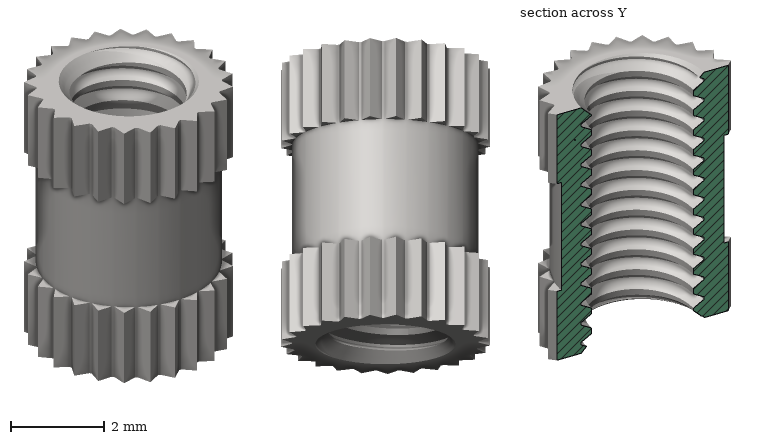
import cadquery as cq
import math

length = 6.2
knurl_height = 1.75

body_radius = 2.0
tooth_tip_radius = 2.25
tooth_count = 25
tooth_pitch_angle = 360.0 / tooth_count
root_land_width = 0.055

bore_radius = 1.245
thread_root_radius = 1.5
turns_in_length = 12.4
thread_pitch = length / turns_in_length
flank_slope = math.tan(math.radians(30.0))
groove_root_width = thread_pitch / 8
groove_overlap = 0.03

chamfer_clearance = 0.005
chamfer_rim_radius = thread_root_radius + chamfer_clearance
chamfer_depth = chamfer_rim_radius - bore_radius


def tooth_ring(base_z):
    """Ring of pointed teeth; the lands between teeth lie on the body surface."""
    land_angle = math.degrees(root_land_width / body_radius)
    half_tooth_angle = (tooth_pitch_angle - land_angle) / 2

    def polar(radius, degrees):
        angle = math.radians(degrees)
        return radius * math.cos(angle), radius * math.sin(angle)

    first_tip_angle = 90.0
    outline = cq.Workplane("XY", origin=(0, 0, base_z))
    outline = outline.moveTo(*polar(body_radius, first_tip_angle - half_tooth_angle))
    for tooth in range(tooth_count):
        tip_angle = first_tip_angle + tooth * tooth_pitch_angle
        gap_angle = tip_angle + tooth_pitch_angle / 2
        next_tooth_start = tip_angle + tooth_pitch_angle - half_tooth_angle
        outline = (
            outline.lineTo(*polar(tooth_tip_radius, tip_angle))
            .lineTo(*polar(body_radius, tip_angle + half_tooth_angle))
            .threePointArc(polar(body_radius, gap_angle), polar(body_radius, next_tooth_start))
        )
    return outline.close().extrude(knurl_height)


def chamfered_bore():
    """Solid of revolution filling the bore and its two lead-in chamfers, with its seam at -Y."""
    return (
        cq.Workplane("YZ")
        .polyline([
            (0, 0),
            (-chamfer_rim_radius, 0),
            (-bore_radius, chamfer_depth),
            (-bore_radius, length - chamfer_depth),
            (-chamfer_rim_radius, length),
            (0, length),
        ])
        .close()
        .revolve(360, (0, 0, 0), (0, 1, 0))
    )


def thread_groove():
    """Right-hand helical groove that runs one pitch past both ends."""
    start_z = -thread_pitch
    run = length + 2 * thread_pitch
    inner_radius = bore_radius - groove_overlap
    half_root = groove_root_width / 2
    half_mouth = half_root + (thread_root_radius - inner_radius) * flank_slope
    profile = [
        (inner_radius, -half_mouth),
        (thread_root_radius, -half_root),
        (thread_root_radius, half_root),
        (inner_radius, half_mouth),
    ]
    helices = [
        cq.Wire.makeHelix(thread_pitch, run, radius, center=cq.Vector(0, 0, start_z + rise))
        for radius, rise in profile
    ]
    sides = [cq.Face.makeRuledSurface(helices[i - 1], helices[i]) for i in range(len(helices))]
    ends = [
        cq.Face.makeFromWires(
            cq.Wire.assembleEdges(
                [
                    cq.Edge.makeLine(helices[i - 1].positionAt(end), helices[i].positionAt(end))
                    for i in range(len(helices))
                ]
            )
        )
        for end in (0, 1)
    ]
    return cq.Workplane(obj=cq.Solid.makeSolid(cq.Shell.makeShell(sides + ends)))


body = cq.Workplane("XY").circle(body_radius).extrude(length)
for ring_base in (0, length - knurl_height):
    body = body.union(tooth_ring(ring_base))

result = body.cut(chamfered_bore()).cut(thread_groove())